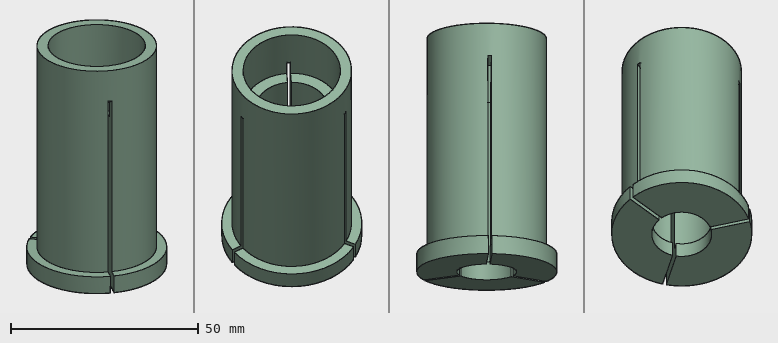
import cadquery as cq
import math

total_height = 64.6
flange_diameter = 37.5
flange_height = 5.0
sleeve_diameter = 32.0

socket_diameter = 26.0
socket_depth = 15.0
middle_bore_diameter = 19.4
through_bore_diameter = 16.0
lip_height = flange_height

slot_count = 3
slot_width = 1.0
slot_top_on_sleeve = 55.6
first_slot_angle = 90.0
saw_radius = 31.5

socket_floor_height = total_height - socket_depth


def cylinder(diameter, bottom, top):
    """Solid cylinder on the Z axis between two heights."""
    return cq.Workplane("XY").workplane(offset=bottom).circle(diameter / 2).extrude(top - bottom)


def flanged_sleeve():
    """Straight sleeve standing on a wider flange."""
    flange = cylinder(flange_diameter, 0, flange_height)
    sleeve = cylinder(sleeve_diameter, 0, total_height)
    return flange.union(sleeve)


def stepped_bore():
    """Through bore that widens in two steps towards the top."""
    through_bore = cylinder(through_bore_diameter, 0, total_height)
    middle_bore = cylinder(middle_bore_diameter, lip_height, total_height)
    socket = cylinder(socket_diameter, socket_floor_height, total_height)
    return through_bore.union(middle_bore).union(socket)


def radial_slot(angle):
    """Slot cutter open at the base, reaching in to the axis, with a saw-blade arc as its roof."""
    sleeve_to_saw_centre = saw_radius - sleeve_diameter / 2
    saw_centre_height = slot_top_on_sleeve - math.sqrt(saw_radius**2 - sleeve_to_saw_centre**2)
    arc_middle_offset = saw_radius * math.sin(math.radians(45))
    arc_middle = (saw_radius - arc_middle_offset, saw_centre_height + arc_middle_offset)
    arc_end = (saw_radius, saw_centre_height + saw_radius)
    return (
        cq.Workplane("XZ")
        .lineTo(0, saw_centre_height)
        .threePointArc(arc_middle, arc_end)
        .lineTo(saw_radius, 0)
        .close()
        .extrude(slot_width / 2, both=True)
        .rotate((0, 0, 0), (0, 0, 1), angle)
    )


result = flanged_sleeve().cut(stepped_bore())
for index in range(slot_count):
    slot_angle = first_slot_angle + index * 360 / slot_count
    result = result.cut(radial_slot(slot_angle))